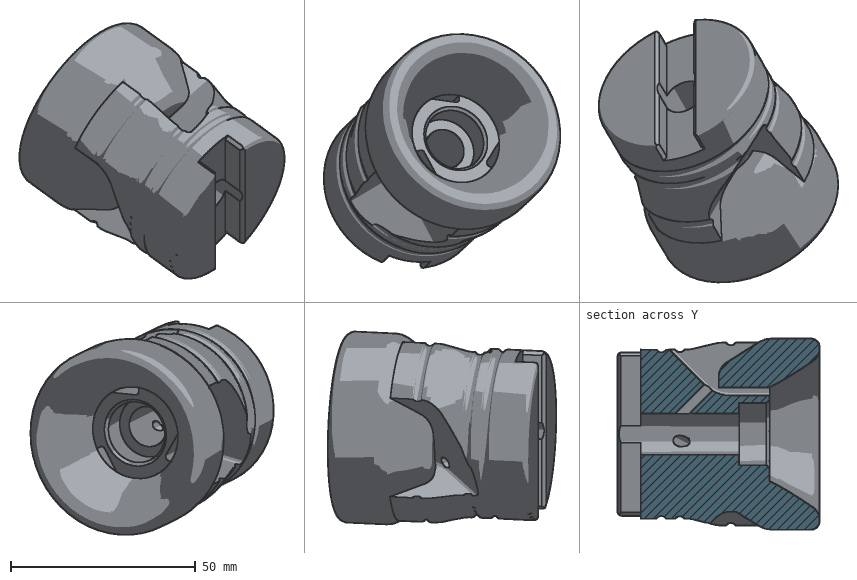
import cadquery as cq
import math

LENGTH = 55.0
CUP_RADIUS = 26.0

CONE_SLOPE = 0.63
RIM_OUTER_ROUND = 2.5
RIM_INNER_ROUND = 4.4
BACK_CONE_START = 14.95
BACK_ROUND = 6.05
CUP_END = 27.5
CUP_END_ROUND = 4.95
FUNNEL_END = 11.15
FUNNEL_END_RADIUS = 13.95
SEAT_X = 13.65
SEAT_RADIUS = 12.7

BORE_RADIUS = 5.55
COUNTERBORE_RADIUS = 8.4
COUNTERBORE_DEPTH = 8.25
COUNTERBORE_CHAMFER = 0.8

BODY_RADIUS = 24.9
BODY_START = 16.6
TAIL_RADIUS = 23.05
TAPER_START = 27.4
TAPER_END = 35.2
TAPER_BLEND = 7.15
TAIL_ROUND = 1.45

GROOVE_WIDTH = 2.55
GROOVE_DEPTH = 0.7
GROOVE_LIP_ROUND = 0.35
GROOVES = [(24.15, BODY_RADIUS), (38.0, TAIL_RADIUS), (43.0, TAIL_RADIUS)]

POCKET_COUNT = 3
POCKET_FLOOR = 10.55
POCKET_CORNER = 1.0
POCKET_WALL = -POCKET_CORNER
POCKET_CURVE_START = 24.2
POCKET_CURVE_RADIUS = 10.1
POCKET_RAMP_ANGLE = 45.0
POCKET_REACH = 33.0

COOLANT_X = 30.35
COOLANT_Y = 0.9
COOLANT_RADIUS = 1.6
COOLANT_DEPTH = 13.2
COOLANT_LEAD = 2.2

SLOT_START = 48.7
SLOT_HALF_WIDTH = 5.05
SLOT_CHAMFER = 1.0


def revolve_about_x(outline):
    return outline.close().revolve(360, (0, 0, 0), (1, 0, 0))


def round_circles(solid, circles, size):
    """Round the circular edges given as (X, radius) pairs."""

    def is_wanted(edge):
        return any(
            math.isclose(edge.Center().x, x, abs_tol=0.005)
            and math.isclose(edge.radius(), radius, abs_tol=0.005)
            for x, radius in circles
        )

    edges = [edge for edge in solid.edges("%CIRCLE").vals() if is_wanted(edge)]
    return solid.newObject(edges).fillet(size)


def make_groove(center, radius):
    half = GROOVE_WIDTH / 2
    outline = (
        cq.Workplane("XY")
        .moveTo(center - half, radius + GROOVE_DEPTH)
        .lineTo(center - half, radius)
        .threePointArc((center, radius - GROOVE_DEPTH), (center + half, radius))
        .lineTo(center + half, radius + GROOVE_DEPTH)
    )
    return revolve_about_x(outline)


def make_body():
    outline = (
        cq.Workplane("XY")
        .moveTo(SEAT_X, 0)
        .lineTo(SEAT_X, SEAT_RADIUS)
        .lineTo(BODY_START, SEAT_RADIUS)
        .lineTo(BODY_START, BODY_RADIUS)
        .lineTo(TAPER_START, BODY_RADIUS)
        .lineTo(TAPER_END, TAIL_RADIUS)
        .lineTo(LENGTH, TAIL_RADIUS)
        .lineTo(LENGTH, 0)
    )
    body = revolve_about_x(outline)
    body = round_circles(body, [(TAPER_START, BODY_RADIUS), (TAPER_END, TAIL_RADIUS)], TAPER_BLEND)
    body = round_circles(body, [(LENGTH, TAIL_RADIUS)], TAIL_ROUND)

    lips = []
    for center, radius in GROOVES:
        body = body.cut(make_groove(center, radius))
        lips += [(center - GROOVE_WIDTH / 2, radius), (center + GROOVE_WIDTH / 2, radius)]
    return round_circles(body, lips, GROOVE_LIP_ROUND)


def pocket_curve_point(angle):
    """Point (X, Z) on the curved floor where it has climbed to the given angle in degrees."""
    turn = math.radians(angle)
    return (
        POCKET_CURVE_START + POCKET_CURVE_RADIUS * math.sin(turn),
        POCKET_FLOOR + POCKET_CURVE_RADIUS * (1 - math.cos(turn)),
    )


def make_pocket():
    ramp_x, ramp_z = pocket_curve_point(POCKET_RAMP_ANGLE)
    ramp_end_x = ramp_x + (POCKET_REACH - ramp_z) / math.tan(math.radians(POCKET_RAMP_ANGLE))
    pocket = (
        cq.Workplane("XZ", origin=(0, POCKET_WALL, 0))
        .moveTo(SEAT_X, POCKET_FLOOR)
        .lineTo(POCKET_CURVE_START, POCKET_FLOOR)
        .threePointArc(pocket_curve_point(POCKET_RAMP_ANGLE / 2), (ramp_x, ramp_z))
        .lineTo(ramp_end_x, POCKET_REACH)
        .lineTo(SEAT_X, POCKET_REACH)
        .close()
        .extrude(-POCKET_REACH)
    )
    floor_edges = pocket.faces("<Y").edges("not(<X or >Z)").vals()
    return pocket.newObject(floor_edges).fillet(POCKET_CORNER).union(make_coolant_hole())


def make_coolant_hole():
    climb = math.asin((COOLANT_X - POCKET_CURVE_START) / POCKET_CURVE_RADIUS)
    floor_z = pocket_curve_point(math.degrees(climb))[1]
    ramp = math.radians(POCKET_RAMP_ANGLE)
    inward = cq.Vector(math.sin(ramp), 0, -math.cos(ramp))
    start = cq.Vector(COOLANT_X, COOLANT_Y, floor_z) - inward * COOLANT_LEAD
    return cq.Workplane(cq.Solid.makeCylinder(COOLANT_RADIUS, COOLANT_LEAD + COOLANT_DEPTH, start, inward))


def make_cup():
    funnel_mouth = FUNNEL_END_RADIUS + CONE_SLOPE * FUNNEL_END
    cup_end_radius = CUP_RADIUS - CONE_SLOPE * (CUP_END - BACK_CONE_START)
    outline = (
        cq.Workplane("XY")
        .moveTo(0, funnel_mouth)
        .lineTo(0, CUP_RADIUS)
        .lineTo(BACK_CONE_START, CUP_RADIUS)
        .lineTo(CUP_END, cup_end_radius)
        .lineTo(CUP_END, SEAT_RADIUS)
        .lineTo(SEAT_X, SEAT_RADIUS)
        .lineTo(FUNNEL_END, FUNNEL_END_RADIUS)
    )
    cup = revolve_about_x(outline)
    cup = round_circles(cup, [(0, CUP_RADIUS)], RIM_OUTER_ROUND)
    cup = round_circles(cup, [(0, funnel_mouth)], RIM_INNER_ROUND)
    cup = round_circles(cup, [(BACK_CONE_START, CUP_RADIUS)], BACK_ROUND)
    return round_circles(cup, [(CUP_END, cup_end_radius)], CUP_END_ROUND)


def make_bore():
    counterbore_end = SEAT_X + COUNTERBORE_DEPTH
    outline = (
        cq.Workplane("XY")
        .moveTo(SEAT_X, 0)
        .lineTo(SEAT_X, COUNTERBORE_RADIUS + COUNTERBORE_CHAMFER)
        .lineTo(SEAT_X + COUNTERBORE_CHAMFER, COUNTERBORE_RADIUS)
        .lineTo(counterbore_end, COUNTERBORE_RADIUS)
        .lineTo(counterbore_end, BORE_RADIUS)
        .lineTo(LENGTH, BORE_RADIUS)
        .lineTo(LENGTH, 0)
    )
    return revolve_about_x(outline)


def make_slot():
    flared = SLOT_HALF_WIDTH + SLOT_CHAMFER
    edge_z = math.sqrt(TAIL_RADIUS**2 - flared**2)
    slot = (
        cq.Workplane("XY", origin=(0, 0, -TAIL_RADIUS))
        .moveTo(SLOT_START, -SLOT_HALF_WIDTH)
        .lineTo(LENGTH - SLOT_CHAMFER, -SLOT_HALF_WIDTH)
        .lineTo(LENGTH, -flared)
        .lineTo(LENGTH, flared)
        .lineTo(LENGTH - SLOT_CHAMFER, SLOT_HALF_WIDTH)
        .lineTo(SLOT_START, SLOT_HALF_WIDTH)
        .close()
        .extrude(2 * TAIL_RADIUS)
    )
    flare = (
        cq.Workplane("YZ", origin=(SLOT_START, 0, 0))
        .moveTo(-SLOT_HALF_WIDTH, edge_z - SLOT_CHAMFER)
        .lineTo(-flared, edge_z)
        .lineTo(-flared, TAIL_RADIUS)
        .lineTo(flared, TAIL_RADIUS)
        .lineTo(flared, edge_z)
        .lineTo(SLOT_HALF_WIDTH, edge_z - SLOT_CHAMFER)
        .close()
        .extrude(LENGTH - SLOT_START)
    )
    return slot.union(flare).union(flare.mirror("XY"))


body = make_body()
pocket = make_pocket()
for index in range(POCKET_COUNT):
    body = body.cut(pocket.rotate((0, 0, 0), (1, 0, 0), index * 360 / POCKET_COUNT))

result = body.union(make_cup()).cut(make_bore()).cut(make_slot())